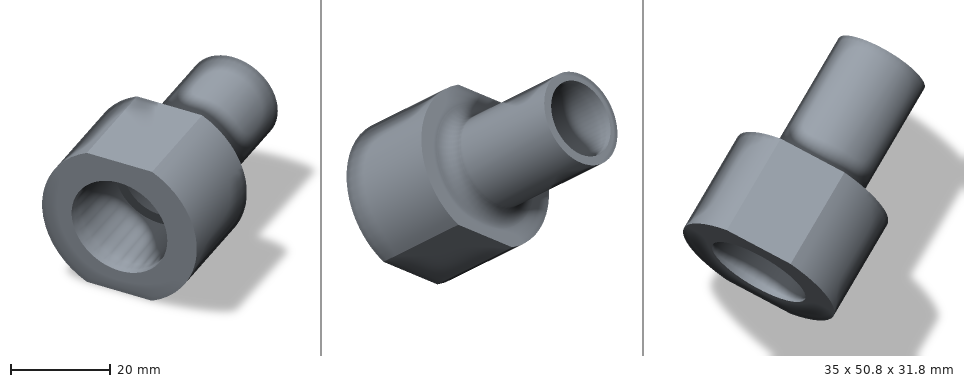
import cadquery as cq

total_length = 50.8
head_diameter = 35.0
head_length = 22.3
flat_distance = 31.75
tube_diameter = 20.05
neck_radius = 3.35

through_diameter = 16.25
socket_mouth_diameter = 21.65
socket_end_diameter = 20.5
taper_ratio = 16
socket_depth = (socket_mouth_diameter - socket_end_diameter) * taper_ratio

tube_radius = tube_diameter / 2


def cylinder_along_y(diameter, length):
    """Solid cylinder from the head face (Y = 0) towards +Y."""
    return cq.Workplane("XZ").circle(diameter / 2).extrude(-length)


def make_head():
    """Round head with two flats, above and below."""
    flats = cq.Workplane("XY").box(
        head_diameter, head_length, flat_distance, centered=(True, False, True)
    )
    return cylinder_along_y(head_diameter, head_length).intersect(flats)


def make_tube():
    """Tube body that flares into the head through a concave neck."""
    neck_end = head_length + neck_radius
    profile = (
        cq.Workplane("XY")
        .lineTo(tube_radius, 0)
        .lineTo(tube_radius, head_length)
        .lineTo(tube_radius + neck_radius, head_length)
        .radiusArc((tube_radius, neck_end), neck_radius)
        .lineTo(tube_radius, total_length)
        .lineTo(0, total_length)
        .close()
    )
    return profile.revolve(360, (0, 0, 0), (0, 1, 0))


def make_socket():
    """Tapered socket, narrowing from the head face inwards."""
    profile = (
        cq.Workplane("XY")
        .lineTo(socket_mouth_diameter / 2, 0)
        .lineTo(socket_end_diameter / 2, socket_depth)
        .lineTo(0, socket_depth)
        .close()
    )
    return profile.revolve(360, (0, 0, 0), (0, 1, 0))


through_hole = cylinder_along_y(through_diameter, total_length)
body = make_head().union(make_tube()).cut(through_hole).cut(make_socket())

result = body.translate((0, -total_length / 2, 0))